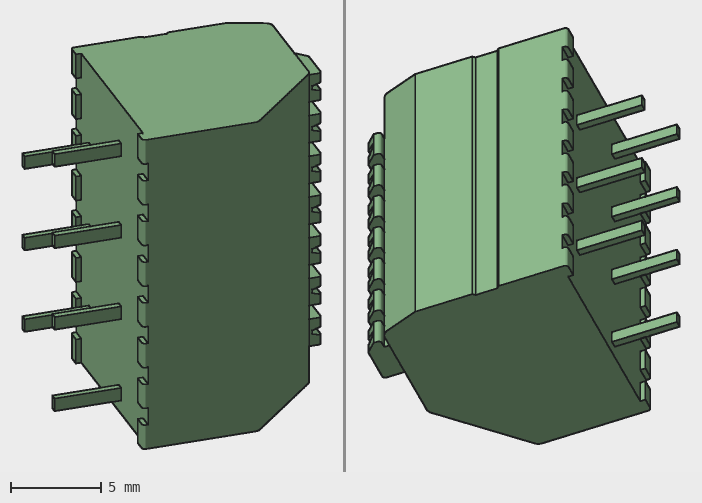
import cadquery as cq


height = 19.28
width = 12.0
depth = 11.5
back_slope_x = 0.85
back_slope_y = 2.31
entry_chamfer = 4.69
housing_fillet = 0.5

groove_depth = 0.13
groove_bottom_y = 4.15
groove_length = 1.58

foot_count = 8
foot_width = 0.85
foot_rise = 0.3
foot_height = 1.5
foot_fillet = 0.2

pitch = (height - foot_height) / (foot_count - 1)
pole_count = foot_count - 1
first_pole_z = 0.85

lever_height = 1.7
lever_rise = 1.6
lever_left_x = 2.02
lever_neck_x = 2.55
lever_right_x = 4.75
lever_lip_drop = 0.98
lever_chamfer = 0.55
lever_fillet = 0.2
notch_depth = 0.55
notch_top_width = 0.54
notch_bottom_width = 0.21

pin_width = 0.4
pin_height = 0.8
pin_length = 3.6
pin_right_x = 7.3
pin_row_spacing = 5.0
pin_left_x = pin_right_x - pin_row_spacing

lever_top_y = depth + lever_rise


def make_housing():
    groove_top_y = groove_bottom_y + groove_length
    block = (
        cq.Workplane("XY")
        .moveTo(0, foot_rise)
        .lineTo(width, foot_rise)
        .lineTo(width, depth - entry_chamfer)
        .lineTo(width - entry_chamfer, depth)
        .lineTo(back_slope_x, depth)
        .lineTo(0, depth - back_slope_y)
        .lineTo(0, groove_top_y)
        .lineTo(groove_depth, groove_top_y - groove_depth)
        .lineTo(groove_depth, groove_bottom_y + groove_depth)
        .lineTo(0, groove_bottom_y)
        .close()
        .extrude(height)
    )
    rounded_corners = [
        (width, depth - entry_chamfer),
        (width - entry_chamfer, depth),
        (back_slope_x, depth),
    ]
    for x, y in rounded_corners:
        corner = cq.selectors.NearestToPointSelector((x, y, height / 2))
        block = block.edges(corner).fillet(housing_fillet)
    return block


def make_foot_pair(z):
    """Two feet at height z, rounded along their outer lower edges."""
    left_foot = (
        cq.Workplane("XY", origin=(0, 0, z))
        .rect(foot_width, foot_rise, centered=False)
        .extrude(foot_height)
        .edges("|Z and <X and <Y")
        .fillet(foot_fillet)
    )
    right_foot = left_foot.mirror("YZ", (width / 2, 0, 0))
    return left_foot.union(right_foot)


def make_lever(z):
    """Hooked lever with a tapered notch across its tip."""
    lip_y = lever_top_y - lever_lip_drop
    lever = (
        cq.Workplane("XY", origin=(0, 0, z))
        .moveTo(lever_neck_x, depth)
        .lineTo(lever_right_x, depth)
        .lineTo(lever_right_x, lever_top_y)
        .lineTo(lever_left_x + lever_chamfer, lever_top_y)
        .lineTo(lever_left_x, lever_top_y - lever_chamfer)
        .lineTo(lever_left_x, lip_y)
        .lineTo(lever_neck_x, lip_y)
        .close()
        .extrude(lever_height)
    )
    middle_z = z + lever_height / 2
    for x, y in [(lever_right_x, lever_top_y), (lever_left_x, lip_y)]:
        corner = cq.selectors.NearestToPointSelector((x, y, middle_z))
        lever = lever.edges(corner).fillet(lever_fillet)
    notch = (
        cq.Workplane("YZ", origin=(lever_left_x, lever_top_y, middle_z))
        .moveTo(0, notch_top_width / 2)
        .lineTo(-notch_depth, notch_bottom_width / 2)
        .lineTo(-notch_depth, -notch_bottom_width / 2)
        .lineTo(0, -notch_top_width / 2)
        .close()
        .extrude(lever_right_x - lever_left_x)
    )
    return lever.cut(notch)


def make_pin(center_x, z):
    """Straight pin from the mounting side of the housing past the feet."""
    return (
        cq.Workplane("XY", origin=(center_x, -pin_length, z))
        .box(pin_width, pin_length + foot_rise, pin_height, centered=(True, False, False))
    )


result = make_housing()
for foot in range(foot_count):
    result = result.union(make_foot_pair(foot * pitch))
for pole in range(pole_count):
    pole_z = first_pole_z + pole * pitch
    pin_x = pin_right_x if pole % 2 == 0 else pin_left_x
    result = result.union(make_lever(pole_z))
    result = result.union(make_pin(pin_x, pole_z))